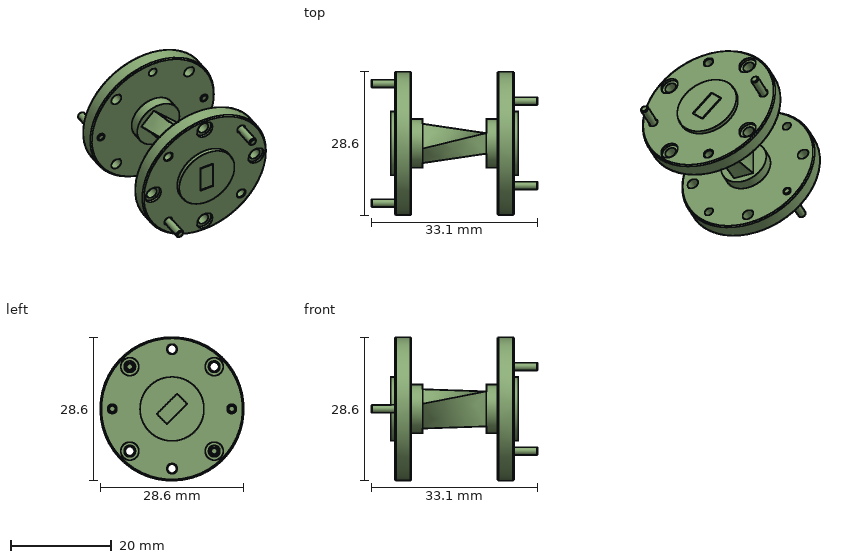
import cadquery as cq
import math

overall_length = 33.15
pin_projection = 4.7
flange_diameter = 28.58
flange_thickness = 3.3
flange_chamfer = 0.25
face_boss_diameter = 12.73
face_boss_height = 0.83
hub_diameter = 9.75
hub_length = 2.22
flange_outer_x = overall_length / 2 - pin_projection
flange_inner_x = flange_outer_x - flange_thickness
face_x = flange_outer_x + face_boss_height
hub_inner_x = flange_inner_x - hub_length

hole_circle_radius = 11.87
screw_hole_diameter = 2.3
counterbore_diameter = 3.58
counterbore_depth = 0.6
alignment_hole_diameter = 1.8
hole_mouth_chamfer = 0.13
pin_diameter = 1.6
pin_end_chamfer = 0.2
pin_angles = (45, 225)
alignment_hole_angles = (135, 315)
screw_hole_angles = (0, 90, 180, 270)

twist_angle = 45.0
tube_width = 4.1
tube_height = 7.0
aperture_width = 2.85
aperture_height = 5.7
aperture_depth = 0.2


def disc(diameter, start_x, end_x):
    """Cylinder on the X axis between two X positions."""
    plane = cq.Workplane("YZ", origin=(start_x, 0, 0))
    return plane.circle(diameter / 2).extrude(end_x - start_x)


def on_hole_circle(shape, angle):
    """Move a shape from the X axis to the hole circle; the angle runs from +Y to +Z."""
    turn = math.radians(angle)
    return shape.translate((0, hole_circle_radius * math.cos(turn), hole_circle_radius * math.sin(turn)))


def as_left_end(shape):
    """Place a shape of the right end at the left end, turned by the twist."""
    return shape.rotate((0, 0, 0), (1, 0, 0), -twist_angle).rotate((0, 0, 0), (0, 0, 1), 180)


def screw_hole():
    """Through hole with a shallow counterbore on the outer flange face."""
    through = disc(screw_hole_diameter, flange_inner_x, flange_outer_x)
    counterbore = disc(counterbore_diameter, flange_outer_x - counterbore_depth, flange_outer_x)
    return through.union(counterbore)


def chamfered_hole(diameter):
    """Through hole with a chamfered mouth on the outer flange face."""
    through = disc(diameter, flange_inner_x, flange_outer_x)
    hole_radius = diameter / 2
    mouth = cq.Solid.makeCone(
        hole_radius,
        hole_radius + hole_mouth_chamfer,
        hole_mouth_chamfer,
        pnt=cq.Vector(flange_outer_x - hole_mouth_chamfer, 0, 0),
        dir=cq.Vector(1, 0, 0),
    )
    return through.union(cq.Workplane(mouth))


def flange_end():
    """Right flange with its face boss, hub, holes and shallow waveguide recess."""
    flange = disc(flange_diameter, flange_inner_x, flange_outer_x).edges().chamfer(flange_chamfer)
    face_boss = disc(face_boss_diameter, flange_outer_x, face_x)
    hub = disc(hub_diameter, hub_inner_x, flange_inner_x)
    end = flange.union(face_boss).union(hub)
    for angle in screw_hole_angles:
        end = end.cut(on_hole_circle(screw_hole(), angle))
    for angle in alignment_hole_angles:
        end = end.cut(on_hole_circle(chamfered_hole(alignment_hole_diameter), angle))
    for angle in pin_angles:
        end = end.cut(on_hole_circle(chamfered_hole(pin_diameter), angle))
    aperture = (
        cq.Workplane("YZ", origin=(face_x - aperture_depth, 0, 0))
        .rect(aperture_width, aperture_height)
        .extrude(aperture_depth)
    )
    return end.cut(aperture)


def twisted_tube():
    """Rectangular bar between the hubs, twisted about X from one end to the other."""
    return (
        cq.Workplane("YZ", origin=(-hub_inner_x, 0, 0))
        .transformed(rotate=(0, 0, twist_angle))
        .rect(tube_width, tube_height)
        .workplane(offset=2 * hub_inner_x)
        .transformed(rotate=(0, 0, -twist_angle))
        .rect(tube_width, tube_height)
        .loft(ruled=True)
    )


def waveguide_housing():
    """Both flange ends and the twisted tube as one solid."""
    right_end = flange_end()
    return right_end.union(twisted_tube()).union(as_left_end(right_end))


def alignment_pin(angle):
    """Right-end pin, flush with the inner flange face and chamfered at both ends."""
    pin = disc(pin_diameter, flange_inner_x, overall_length / 2)
    return on_hole_circle(pin.faces("<X or >X").chamfer(pin_end_chamfer), angle)


housing = waveguide_housing()
pins = []
for pin_angle in pin_angles:
    right_pin = alignment_pin(pin_angle)
    pins.append(right_pin.val())
    pins.append(as_left_end(right_pin).val())

result = cq.Compound.makeCompound([housing.val(), *pins])